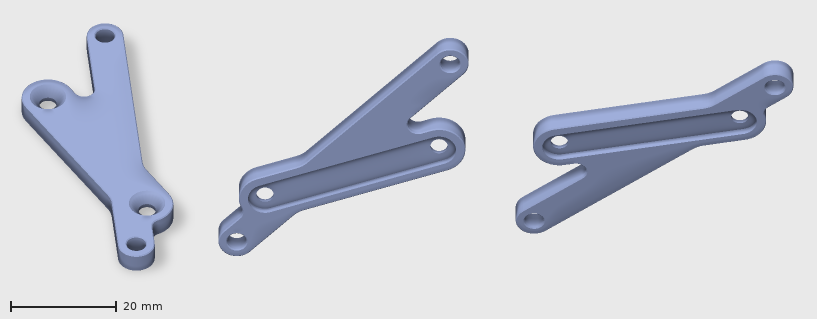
import cadquery as cq
import math

THICKNESS = 4.0
EDGE_CHAMFER = 0.2

SCREW_SPACING = 35.0
WIDE_RADIUS = 5.0

PIN_SPAN_X = 51.8
PIN_SPAN_Y = 26.09
NARROW_RADIUS = 3.5
NARROW_CENTER = (-0.09, 5.31)

PIN_HOLE_DIAMETER = 3.7
SCREW_HOLE_DIAMETER = 3.3
COUNTERSINK_DIAMETER = 6.9

CHANNEL_WIDTH = 6.5
CHANNEL_DEPTH = 1.4

NOTCH_FILLET = 2.0
BEND_FILLET = 5.0
ELBOW_FILLET = 2.0

slant = math.atan2(PIN_SPAN_Y, PIN_SPAN_X)
pin_spacing = math.hypot(PIN_SPAN_X, PIN_SPAN_Y)
center_x, center_y = NARROW_CENTER
pin_points = [
    (center_x - PIN_SPAN_X / 2, center_y + PIN_SPAN_Y / 2),
    (center_x + PIN_SPAN_X / 2, center_y - PIN_SPAN_Y / 2),
]
screw_points = [(-SCREW_SPACING / 2, 0), (SCREW_SPACING / 2, 0)]


def bar(center, spacing, radius, angle):
    """Round-ended bar standing on Z = 0."""
    return (
        cq.Workplane("XY")
        .center(*center)
        .slot2D(spacing + 2 * radius, 2 * radius, angle)
        .extrude(THICKNESS)
    )


def crossing(narrow_side, wide_side):
    """Point where a long edge of the narrow bar meets a long edge of the wide bar (sides are +1 or -1)."""
    y = wide_side * WIDE_RADIUS
    rise = narrow_side * NARROW_RADIUS / math.cos(slant)
    x = center_x + (center_y + rise - y) / math.tan(slant)
    return x, y


def elbow():
    """Point where the upper edge of the narrow bar meets the right round end of the wide bar."""
    end_x, end_y = screw_points[1]
    normal_x, normal_y = math.sin(slant), math.cos(slant)
    distance = (center_x - end_x) * normal_x + (center_y - end_y) * normal_y + NARROW_RADIUS
    half_chord = math.sqrt(WIDE_RADIUS**2 - distance**2)
    x = end_x + distance * normal_x + half_chord * math.cos(slant)
    y = end_y + distance * normal_y - half_chord * math.sin(slant)
    return x, y


def fillet_corner(body, point, radius):
    """Round the upright edge standing at the given point."""
    x, y = point
    nearest = cq.selectors.NearestToPointSelector((x, y, THICKNESS / 2))
    return body.edges("|Z").edges(nearest).fillet(radius)


def build_plate():
    """Two crossing bars with rounded inner corners and chamfered outer edges."""
    wide = bar((0, 0), SCREW_SPACING, WIDE_RADIUS, 0)
    narrow = bar(NARROW_CENTER, pin_spacing, NARROW_RADIUS, -math.degrees(slant))
    plate = wide.union(narrow)
    plate = fillet_corner(plate, crossing(-1, 1), NOTCH_FILLET)
    plate = fillet_corner(plate, crossing(1, 1), BEND_FILLET)
    plate = fillet_corner(plate, crossing(-1, -1), BEND_FILLET)
    plate = fillet_corner(plate, elbow(), ELBOW_FILLET)
    return plate.faces("<Z or >Z").edges().chamfer(EDGE_CHAMFER)


def revolved(profile):
    """Turn a closed (radius, height) profile about the Z axis."""
    return cq.Workplane("XZ").polyline(profile).close().revolve(360, (0, 0), (0, 1))


def pin_hole_cutter():
    """Straight hole along Z with a chamfer at both mouths."""
    radius = PIN_HOLE_DIAMETER / 2
    mouth_radius = radius + EDGE_CHAMFER
    return revolved([
        (0, 0),
        (mouth_radius, 0),
        (radius, EDGE_CHAMFER),
        (radius, THICKNESS - EDGE_CHAMFER),
        (mouth_radius, THICKNESS),
        (0, THICKNESS),
    ])


def screw_hole_cutter():
    """Straight hole along Z with a 45 degree countersink on top."""
    radius = SCREW_HOLE_DIAMETER / 2
    sink_radius = COUNTERSINK_DIAMETER / 2
    sink_depth = sink_radius - radius
    return revolved([
        (0, 0),
        (radius, 0),
        (radius, THICKNESS - sink_depth),
        (sink_radius, THICKNESS),
        (0, THICKNESS),
    ])


def cut_underside_channel(plate):
    """Round-ended channel in the bottom face that runs from one screw hole to the other."""
    channel = (
        cq.Workplane("XY")
        .slot2D(SCREW_SPACING + CHANNEL_WIDTH, CHANNEL_WIDTH)
        .extrude(CHANNEL_DEPTH)
    )
    return plate.cut(channel)


def drill_holes(plate):
    """Cut the pin holes and the screw holes."""
    for x, y in pin_points:
        plate = plate.cut(pin_hole_cutter().translate((x, y, 0)))
    for x, y in screw_points:
        plate = plate.cut(screw_hole_cutter().translate((x, y, 0)))
    return plate


result = drill_holes(cut_underside_channel(build_plate()))